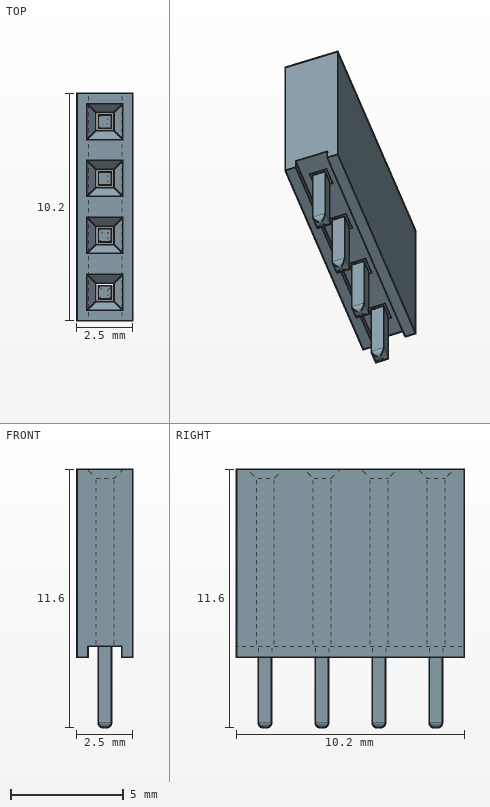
import cadquery as cq

total_height = 11.55
housing_width = 2.5
housing_height = 8.41
pin_count = 4
pitch = 2.54
housing_length = pin_count * pitch
housing_bottom = total_height - housing_height

channel_width = 1.5
channel_depth = 0.5

funnel_width = 1.6
hole_width = 0.8
funnel_depth = (funnel_width - hole_width) / 2

pin_width = 0.6
tip_radius = 0.25
pin_top = housing_bottom + channel_depth

pin_positions = [(i - (pin_count - 1) / 2) * pitch for i in range(pin_count)]


def make_socket_cutter(y):
    """Through hole and entry funnel centred at the given Y."""
    hole = (
        cq.Workplane("XY", origin=(0, y, housing_bottom))
        .rect(hole_width, hole_width)
        .extrude(housing_height)
    )
    funnel = (
        cq.Workplane("XY", origin=(0, y, total_height - funnel_depth))
        .rect(hole_width, hole_width)
        .workplane(offset=funnel_depth)
        .rect(funnel_width, funnel_width)
        .loft(ruled=True)
    )
    return hole.union(funnel)


def make_housing():
    """Rectangular block with an underside channel and a row of sockets."""
    block = (
        cq.Workplane("XY", origin=(0, 0, housing_bottom))
        .rect(housing_width, housing_length)
        .extrude(housing_height)
    )
    channel = (
        cq.Workplane("XY", origin=(0, 0, housing_bottom))
        .rect(channel_width, housing_length)
        .extrude(channel_depth)
    )
    block = block.cut(channel)
    for y in pin_positions:
        block = block.cut(make_socket_cutter(y))
    return block


def make_pin(y):
    """Square pin with a rounded lower tip, centred at the given Y."""
    return (
        cq.Workplane("XY", origin=(0, y, 0))
        .rect(pin_width, pin_width)
        .extrude(pin_top)
        .faces("<Z")
        .edges()
        .fillet(tip_radius)
    )


housing = make_housing()
pins = [make_pin(y) for y in pin_positions]

result = cq.Compound.makeCompound([housing.val(), *[pin.val() for pin in pins]])